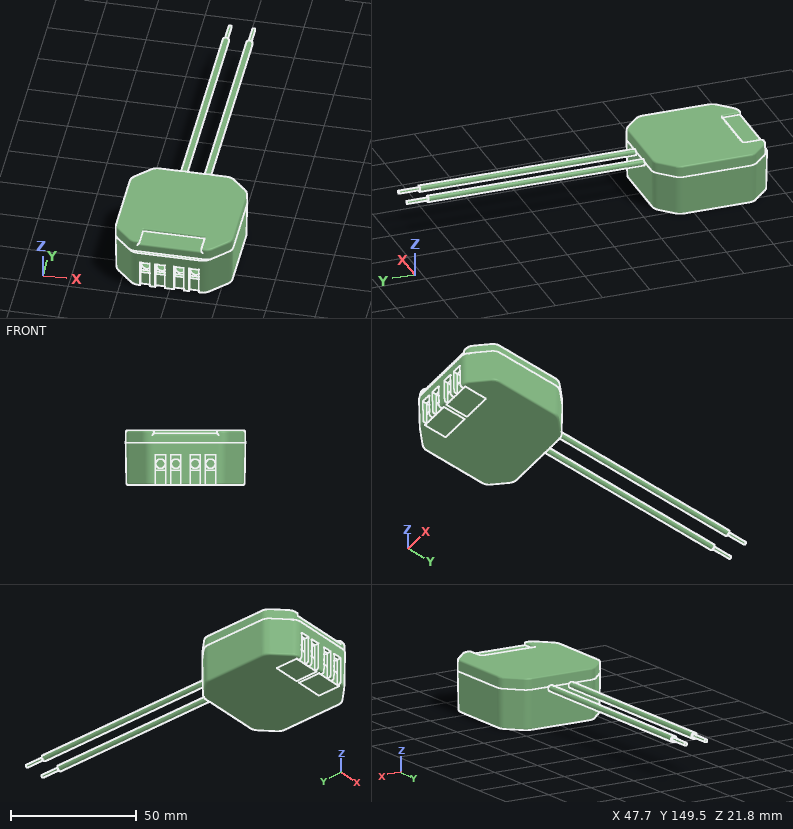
import cadquery as cq

BODY_WIDTH = 47.7
BASE_DEPTH = 49.2
BASE_HEIGHT = 16.9
TOTAL_HEIGHT = 21.8
TOTAL_LENGTH = 149.5

DRAFT_ANGLE = 1.0
FRONT_CHAMFER = 7.9
BACK_CHAMFER = 8.2
CORNER_RADIUS = 4.6
RIM_RADIUS = 0.9
LID_SETBACK = 1.2

RECESS_WIDTH = 25.0
RECESS_BACK_Y = 9.5
RECESS_DEPTH = 1.2
RECESS_CORNER_RADIUS = 0.5

BLOCK_OFFSET = 6.9
SLOT_PITCH = 6.1
SLOT_WIDTH = 4.0
SLOT_TOP_Z = 12.1
WALL_THICKNESS = 2.0

BLOCK_WIDTH = 2 * SLOT_PITCH
BLOCK_DEPTH = 10.5
BLOCK_HEIGHT = 13.5
LEDGE_Z = 5.8
RELIEF_DEPTH = 1.5
ENTRY_Z = 8.5
ENTRY_DIAMETER = 3.7
ENTRY_DEPTH = 4.5

WIRE_OFFSET = 4.8
WIRE_Z = 16.1
INSULATION_DIAMETER = 2.7
CORE_DIAMETER = 1.3
INSULATION_END_Y = 140.6
WIRE_EMBED = 4.5
WIRE_START_Y = BASE_DEPTH - WIRE_EMBED

BLOCK_CENTRES = (-BLOCK_OFFSET, BLOCK_OFFSET)
WIRE_CENTRES = (-WIRE_OFFSET, WIRE_OFFSET)


def box(width, front_y, back_y, bottom_z, top_z, center_x=0.0):
    """Block centred on center_x in X and spanning the given Y and Z ranges."""
    return cq.Workplane("XY").box(
        width, back_y - front_y, top_z - bottom_z, centered=(True, False, False)
    ).translate((center_x, front_y, bottom_z))


def rod(diameter, center_x, center_z, start_y, end_y):
    """Cylinder along Y."""
    plane = cq.Plane(origin=(center_x, start_y, center_z), xDir=(1, 0, 0), normal=(0, 1, 0))
    return cq.Workplane(plane).circle(diameter / 2).extrude(end_y - start_y)


def slot_centres(block_x):
    return (block_x - SLOT_PITCH / 2, block_x + SLOT_PITCH / 2)


def drafted_octagon(front_y, height):
    """Chamfered square prism that narrows away from the joint; a negative height goes downward."""
    half = BODY_WIDTH / 2
    back_cut = BACK_CHAMFER
    front_cut = FRONT_CHAMFER + LID_SETBACK - front_y
    outline = [
        (half, front_y + front_cut),
        (half, BASE_DEPTH - back_cut),
        (half - back_cut, BASE_DEPTH),
        (back_cut - half, BASE_DEPTH),
        (-half, BASE_DEPTH - back_cut),
        (-half, front_y + front_cut),
        (front_cut - half, front_y),
        (half - front_cut, front_y),
    ]
    prism = (
        cq.Workplane("XY", origin=(0, 0, BASE_HEIGHT))
        .polyline(outline)
        .close()
        .extrude(height, taper=DRAFT_ANGLE)
    )
    return prism.edges("not(<Z or >Z)").fillet(CORNER_RADIUS)


def cut_wire_holes(body):
    for x in WIRE_CENTRES:
        body = body.cut(rod(INSULATION_DIAMETER, x, WIRE_Z, WIRE_START_Y, TOTAL_LENGTH))
    return body


def block_envelope(block_x):
    """Plain outer block of one terminal block, and the shape of its pocket in the base."""
    back_y = WALL_THICKNESS + BLOCK_DEPTH
    return box(BLOCK_WIDTH, WALL_THICKNESS, back_y, 0, BLOCK_HEIGHT, block_x)


def make_base():
    base = drafted_octagon(0.0, -BASE_HEIGHT).faces("<Z").edges().fillet(RIM_RADIUS)
    for block_x in BLOCK_CENTRES:
        base = base.cut(block_envelope(block_x))
        for x in slot_centres(block_x):
            base = base.cut(box(SLOT_WIDTH, 0, WALL_THICKNESS, 0, SLOT_TOP_Z, x))
    return cut_wire_holes(base)


def make_lid():
    lid = drafted_octagon(LID_SETBACK, TOTAL_HEIGHT - BASE_HEIGHT)
    floor_z = TOTAL_HEIGHT - RECESS_DEPTH
    recess = box(RECESS_WIDTH, 0, RECESS_BACK_Y, floor_z, TOTAL_HEIGHT)
    lid = lid.cut(recess.edges("|Z and >Y").fillet(RECESS_CORNER_RADIUS))
    recess_mouth = cq.selectors.BoxSelector(
        (-RECESS_WIDTH, 0, floor_z - RECESS_DEPTH / 2),
        (RECESS_WIDTH, 2 * LID_SETBACK, TOTAL_HEIGHT - RECESS_DEPTH / 4),
    )
    rounded = lid.faces(">Z").edges().add(lid.edges(recess_mouth))
    return cut_wire_holes(rounded.fillet(RIM_RADIUS))


def make_terminal_block(block_x):
    relief_back = WALL_THICKNESS + RELIEF_DEPTH
    block = block_envelope(block_x)
    for x in slot_centres(block_x):
        block = block.cut(box(SLOT_WIDTH, WALL_THICKNESS, relief_back, LEDGE_Z, SLOT_TOP_Z, x))
        block = block.cut(rod(ENTRY_DIAMETER, x, ENTRY_Z, relief_back, relief_back + ENTRY_DEPTH))
    return block


def make_insulation(x):
    sleeve = rod(INSULATION_DIAMETER, x, WIRE_Z, WIRE_START_Y, INSULATION_END_Y)
    return sleeve.cut(rod(CORE_DIAMETER, x, WIRE_Z, WIRE_START_Y, INSULATION_END_Y))


def make_core(x):
    return rod(CORE_DIAMETER, x, WIRE_Z, WIRE_START_Y, TOTAL_LENGTH)


base = make_base()
lid = make_lid()
blocks = [make_terminal_block(x).val() for x in BLOCK_CENTRES]
insulations = [make_insulation(x).val() for x in WIRE_CENTRES]
cores = [make_core(x).val() for x in WIRE_CENTRES]

result = cq.Compound.makeCompound([base.val(), lid.val(), *blocks, *insulations, *cores])